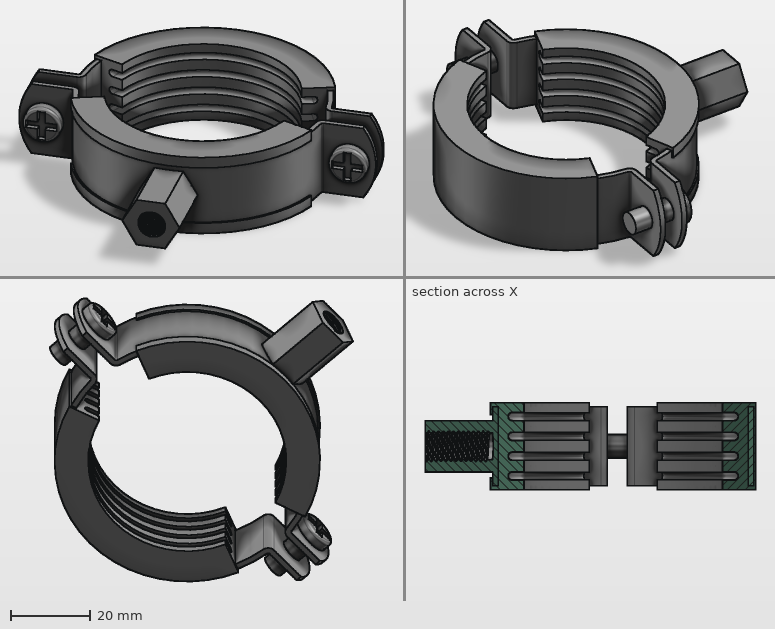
import cadquery as cq
import math


PIPE_RADIUS = 25.0
INSERT_RADIUS = 33.5
INSERT_WIDTH = 22.0
INSERT_END_ANGLE = 20.0
GROOVE_COUNT = 4
GROOVE_PITCH = 5.0
GROOVE_WIDTH = 2.0
GROOVE_DEPTH = 4.0
WINDOW_WIDTH = 16.0

STRAP_RADIUS = 33.0
STRAP_THICKNESS = 1.5
STRAP_WIDTH = 20.0
STRAP_INNER_RADIUS = STRAP_RADIUS - STRAP_THICKNESS
BEND_INNER_RADIUS = 0.5
BEND_OUTER_RADIUS = BEND_INNER_RADIUS + STRAP_THICKNESS

EAR_TIP_X = 46.67
EAR_SHOULDER_X = 43.4
REAR_EAR_Y = 1.0
EAR_GAP = 5.0
FRONT_EAR_Y = REAR_EAR_Y - EAR_GAP

SCREW_X = 40.0
SHANK_DIAMETER = 6.0
SCREW_TIP_Y = 7.5
HEAD_DIAMETER = 10.0
HEAD_HEIGHT = 3.0
HEAD_FILLET = 1.0
RECESS_LENGTH = HEAD_DIAMETER - 2 * HEAD_FILLET
RECESS_WIDTH = 2.0
RECESS_DEPTH = 1.5

SOCKET_END_Y = -50.0
SOCKET_ACROSS_FLATS = 13.0
SOCKET_ACROSS_CORNERS = SOCKET_ACROSS_FLATS / math.cos(math.radians(30))
SOCKET_ROOT_OVERLAP = 1.0
THREAD_MINOR_RADIUS = 3.35
THREAD_MAJOR_RADIUS = 3.8
THREAD_PITCH = 1.25
THREAD_MOUTH_WIDTH = 0.8 * THREAD_PITCH
THREAD_OVERLAP = 0.1

REAR = 1
FRONT = -1


def ring(outer_radius, inner_radius, width):
    """Ring around Z, centred on the XY plane."""
    return cq.Workplane("XY").circle(outer_radius).circle(inner_radius).extrude(width / 2, both=True)


def ear_plate(side, face_y):
    """Ear of one strap on the +X or -X side, growing from face_y away from the gap."""
    half_width = STRAP_WIDTH / 2
    root_x = math.sqrt(STRAP_INNER_RADIUS**2 - face_y**2)
    outline = (
        cq.Workplane("XZ", origin=(0, face_y, 0))
        .moveTo(root_x, -half_width)
        .lineTo(EAR_SHOULDER_X, -half_width)
        .threePointArc((EAR_TIP_X, 0), (EAR_SHOULDER_X, half_width))
        .lineTo(root_x, half_width)
        .close()
        .moveTo(SCREW_X, 0)
        .circle(SHANK_DIAMETER / 2)
    )
    thickness = -STRAP_THICKNESS if face_y > 0 else STRAP_THICKNESS
    plate = outline.extrude(thickness)
    return plate if side > 0 else plate.mirror("YZ")


def bend_edge(band, x, y):
    """Edge of the band parallel to Z that passes through (x, y)."""
    return band.edges("|Z").edges(cq.selectors.NearestToPointSelector((x, y, 0)))


def strap(half, face_y):
    """Half band with an ear at each end, rounded where band and ear meet."""
    reach = 2 * STRAP_RADIUS
    keep = cq.Workplane("XY").box(2 * reach, reach, STRAP_WIDTH, centered=(True, False, True))
    if half == FRONT:
        keep = keep.mirror("XZ")
    band = ring(STRAP_RADIUS, STRAP_INNER_RADIUS, STRAP_WIDTH).intersect(keep.translate((0, face_y, 0)))
    back_y = face_y + half * STRAP_THICKNESS
    convex_x = math.sqrt(STRAP_INNER_RADIUS**2 - face_y**2)
    concave_x = math.sqrt(STRAP_RADIUS**2 - back_y**2)
    for side in (-1, 1):
        band = band.union(ear_plate(side, face_y))
    for side in (-1, 1):
        band = bend_edge(band, side * convex_x, face_y).fillet(BEND_OUTER_RADIUS)
        band = bend_edge(band, side * concave_x, back_y).fillet(BEND_INNER_RADIUS)
    return band


def thread_groove(start_y, length):
    """V-section helical groove around the socket axis."""
    half_mouth = THREAD_MOUTH_WIDTH / 2
    base_radius = THREAD_MINOR_RADIUS - THREAD_OVERLAP
    helix = cq.Workplane(obj=cq.Wire.makeHelix(THREAD_PITCH, length, THREAD_MINOR_RADIUS))
    groove = (
        cq.Workplane("XZ")
        .polyline([(base_radius, -half_mouth), (THREAD_MAJOR_RADIUS, 0), (base_radius, half_mouth)])
        .close()
        .sweep(helix, isFrenet=True)
    )
    return groove.rotate((0, 0, 0), (1, 0, 0), -90).translate((0, start_y, 0))


def socket():
    """Hexagonal socket along Y with a threaded bore, rooted inside the strap wall."""
    root_y = -(STRAP_INNER_RADIUS + SOCKET_ROOT_OVERLAP)
    length = root_y - SOCKET_END_Y
    root_plane = cq.Workplane("XZ", origin=(0, root_y, 0))
    body = root_plane.polygon(6, SOCKET_ACROSS_CORNERS).extrude(length)
    bore = root_plane.circle(THREAD_MINOR_RADIUS).extrude(length)
    groove = thread_groove(SOCKET_END_Y - THREAD_PITCH, length)
    return body.cut(bore).cut(groove)


def bore_groove(z):
    """Ring that cuts one round-bottomed groove into the insert bore at height z."""
    half_width = GROOVE_WIDTH / 2
    bottom = PIPE_RADIUS + GROOVE_DEPTH
    mouth = PIPE_RADIUS - half_width
    return (
        cq.Workplane("XZ")
        .moveTo(mouth, z - half_width)
        .lineTo(bottom - half_width, z - half_width)
        .threePointArc((bottom, z), (bottom - half_width, z + half_width))
        .lineTo(mouth, z + half_width)
        .close()
        .revolve(360, (0, 0, 0), (0, 1, 0))
    )


def insert(half):
    """Rubber half lining that wraps the strap edges, with grooves along its bore."""
    reach = 2 * INSERT_RADIUS
    rise = reach * math.tan(math.radians(INSERT_END_ANGLE))
    sector = (
        cq.Workplane("XY")
        .polyline([(0, 0), (reach, rise), (reach, reach), (-reach, reach), (-reach, rise)])
        .close()
        .extrude(INSERT_WIDTH / 2, both=True)
    )
    if half == FRONT:
        sector = sector.mirror("XZ")
    lining = ring(INSERT_RADIUS, PIPE_RADIUS, INSERT_WIDTH)
    lining = lining.cut(ring(STRAP_RADIUS, STRAP_INNER_RADIUS, STRAP_WIDTH))
    if half == FRONT:
        lining = lining.cut(ring(INSERT_RADIUS, STRAP_RADIUS, WINDOW_WIDTH))
    for index in range(GROOVE_COUNT):
        lining = lining.cut(bore_groove((index - (GROOVE_COUNT - 1) / 2) * GROOVE_PITCH))
    return lining.intersect(sector)


def screw(x):
    """Screw along Y whose head bears on the front ear."""
    seat_y = FRONT_EAR_Y - STRAP_THICKNESS
    seat = cq.Workplane("XZ", origin=(x, seat_y, 0))
    shank = seat.circle(SHANK_DIAMETER / 2).extrude(seat_y - SCREW_TIP_Y)
    head = seat.circle(HEAD_DIAMETER / 2).extrude(HEAD_HEIGHT).faces("<Y").edges().fillet(HEAD_FILLET)
    recess = (
        cq.Workplane("XZ", origin=(x, seat_y - HEAD_HEIGHT, 0))
        .rect(RECESS_LENGTH, RECESS_WIDTH)
        .extrude(-RECESS_DEPTH)
    )
    for angle in (0, 90):
        head = head.cut(recess.rotate((x, 0, 0), (x, 1, 0), angle))
    return shank.union(head)


rear_strap = strap(REAR, REAR_EAR_Y)
front_strap = strap(FRONT, FRONT_EAR_Y).union(socket())
rear_insert = insert(REAR)
front_insert = insert(FRONT)
screws = [screw(side * SCREW_X).val() for side in (-1, 1)]

result = cq.Compound.makeCompound(
    [rear_strap.val(), front_strap.val(), rear_insert.val(), front_insert.val(), *screws]
)